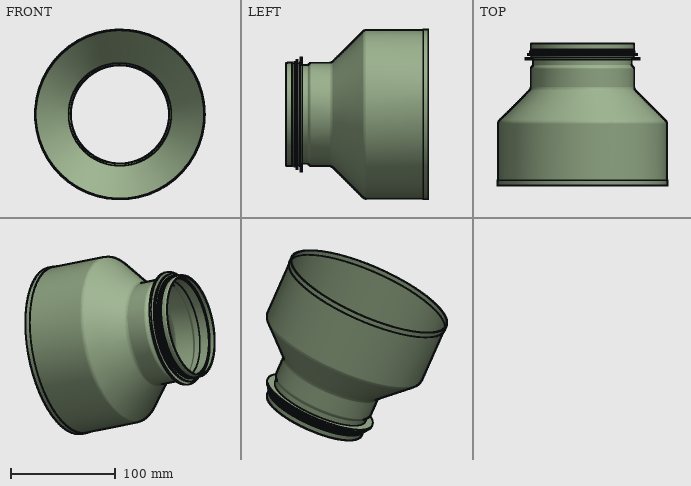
import cadquery as cq
import math

length = 136.0
wall = 0.5

rim_dia = 162.3
rim_length = 5.0
socket_dia = 161.3

spigot_dia = 99.0
groove_dia = 94.3
groove_start = 6.3
groove_end = 21.1
cone_start = 43.7
lip_radius = 1.8

groove_bend = 1.0
spigot_bend = 2.1
throat_bend = 3.9
shoulder_bend = 4.2

seal_dia = 98.0
seal_end = 15.7
seal_rings = [
    (100.2, 8.0, 9.1),
    (104.4, 10.2, 11.5),
    (99.0, 13.5, 14.0),
    (109.4, 14.0, seal_end),
]

slope_angle = 45

groove_top_y = length - groove_start
groove_bottom_y = length - groove_end
spigot_top_y = groove_bottom_y - (spigot_dia - groove_dia) / 2
cone_top_y = length - cone_start
cone_bottom_y = cone_top_y - (socket_dia - spigot_dia) / 2


def revolve_about_y(points):
    """Revolve a closed (radius, y) outline a full turn about the Y axis."""
    return cq.Workplane("XY").polyline(points).close().revolve(360, (0, 0), (0, 1))


def tube(outer_dia, inner_dia, y_start, y_end):
    """Plain ring between two places along the Y axis."""
    outer = outer_dia / 2
    inner = inner_dia / 2
    return revolve_about_y([(inner, y_start), (outer, y_start), (outer, y_end), (inner, y_end)])


def round_ring_edge(body, y, radius):
    """Fillet the circular edge that lies at the given place along Y."""
    tolerance = 0.02
    ring = cq.selectors.BoxSelector(
        (-tolerance, y - tolerance, -tolerance), (tolerance, y + tolerance, tolerance)
    )
    return body.edges("%CIRCLE").edges(ring).fillet(radius)


def make_form(inset):
    """Solid of the reducer's outside shape, moved inward everywhere by the inset."""
    socket_radius = socket_dia / 2 - inset
    spigot_radius = spigot_dia / 2 - inset
    groove_radius = groove_dia / 2 - inset
    slide = inset * math.tan(math.radians(slope_angle / 2))
    shoulder_y = cone_bottom_y - slide
    throat_y = cone_top_y - slide
    spigot_y = spigot_top_y - slide
    groove_y = groove_bottom_y - slide
    step_y = groove_top_y + inset
    end_y = length - inset

    body = revolve_about_y([
        (0, 0),
        (socket_radius, 0),
        (socket_radius, shoulder_y),
        (spigot_radius, throat_y),
        (spigot_radius, spigot_y),
        (groove_radius, groove_y),
        (groove_radius, step_y),
        (spigot_radius, step_y),
        (spigot_radius, end_y),
        (0, end_y),
    ])
    bends = [
        (shoulder_y, shoulder_bend - inset),
        (throat_y, throat_bend + inset),
        (spigot_y, spigot_bend - inset),
        (groove_y, groove_bend + inset),
        (end_y, lip_radius - inset),
    ]
    for y, radius in bends:
        body = round_ring_edge(body, y, radius)
    return body


def make_reducer():
    """Thin sheet reducer, open at both ends, with a thickened mouth rim."""
    rim = tube(rim_dia, socket_dia - wall, 0, rim_length)
    opening_radius = spigot_dia / 2 - lip_radius
    opening = revolve_about_y([
        (0, length - lip_radius),
        (opening_radius, length - lip_radius),
        (opening_radius, length),
        (0, length),
    ])
    return make_form(0).union(rim).cut(make_form(wall)).cut(opening)


def make_seal():
    """Ring seal seated in the groove next to the narrow end."""
    seal = tube(seal_dia, groove_dia, length - seal_end, groove_top_y)
    for diameter, start, end in seal_rings:
        seal = seal.union(tube(diameter, groove_dia, length - end, length - start))
    return seal


reducer = make_reducer()
seal = make_seal()

result = cq.Compound.makeCompound([reducer.solids().val(), seal.solids().val()])